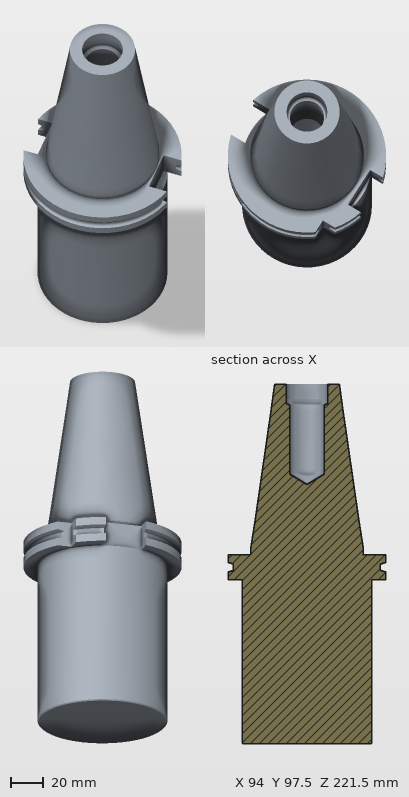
import cadquery as cq
import math

total_height = 221.5
flange_bottom = 101.0
flange_thickness = 15.5
flange_top = flange_bottom + flange_thickness
gauge_plane = 119.9

body_diameter = 80.0
flange_diameter = 97.5
gauge_diameter = 69.8
neck_diameter = 69.4
taper_ratio = 7 / 24
body_chamfer = 0.7

taper_land = 0.9
neck_flare = 0.5

groove_diameter = 90.9
groove_mouth_width = 5.8
groove_floor_width = 3.5

slot_width = 26.0
shallow_slot_offset = 37.7
deep_slot_offset = 35.2

notch_x = 30.0
notch_y = 29.7

entry_diameter = 25.0
entry_depth = 9.3
relief_diameter = 25.5
relief_depth = 12.0
drill_diameter = 21.0
seat_depth = 12.9
drill_depth = 55.5
drill_point_angle = 118.0


def revolve_profile(points):
    """Revolve closed (radius, height) points about the Z axis."""
    return cq.Workplane("XZ").polyline(points).close().revolve(360, (0, 0), (0, 1))


def make_holder():
    """Body, grooved flange, neck and taper as one turned solid."""
    body_r = body_diameter / 2
    flange_r = flange_diameter / 2
    groove_r = groove_diameter / 2
    gauge_r = gauge_diameter / 2
    neck_r = neck_diameter / 2
    groove_z = flange_bottom + flange_thickness / 2
    land_z = gauge_plane - taper_land
    small_end_r = gauge_r - (total_height - gauge_plane) * taper_ratio / 2
    return revolve_profile([
        (0, 0),
        (body_r - body_chamfer, 0),
        (body_r, body_chamfer),
        (body_r, flange_bottom),
        (flange_r, flange_bottom),
        (flange_r, groove_z - groove_mouth_width / 2),
        (groove_r, groove_z - groove_floor_width / 2),
        (groove_r, groove_z + groove_floor_width / 2),
        (flange_r, groove_z + groove_mouth_width / 2),
        (flange_r, flange_top),
        (neck_r + neck_flare, flange_top),
        (neck_r, flange_top + neck_flare),
        (neck_r, land_z - (gauge_r - neck_r)),
        (gauge_r, land_z),
        (gauge_r, gauge_plane),
        (small_end_r, total_height),
        (0, total_height),
    ])


def make_bore():
    """Stepped pull stud bore with a relief groove and a drill point."""
    entry_r = entry_diameter / 2
    relief_r = relief_diameter / 2
    drill_r = drill_diameter / 2
    point_depth = drill_r / math.tan(math.radians(drill_point_angle / 2))
    return revolve_profile([
        (0, total_height),
        (entry_r, total_height),
        (entry_r, total_height - entry_depth),
        (relief_r, total_height - entry_depth),
        (relief_r, total_height - relief_depth),
        (drill_r, total_height - seat_depth),
        (drill_r, total_height - drill_depth),
        (0, total_height - drill_depth - point_depth),
    ])


def flange_block(x_min, x_max, y_min, y_max):
    """Block spanning the flange thickness."""
    return (
        cq.Workplane("XY", origin=(x_min, y_min, flange_bottom))
        .box(x_max - x_min, y_max - y_min, flange_thickness, centered=False)
    )


def make_flange_cuts():
    """Both drive slots and the orientation notch."""
    rim = flange_diameter / 2
    half_slot = slot_width / 2
    shallow_slot = flange_block(-rim, -shallow_slot_offset, -half_slot, half_slot)
    deep_slot = flange_block(deep_slot_offset, rim, -half_slot, half_slot)
    notch = flange_block(-rim, -notch_x, notch_y, rim)
    return [shallow_slot, deep_slot, notch]


result = make_holder().cut(make_bore())
for flange_cut in make_flange_cuts():
    result = result.cut(flange_cut)